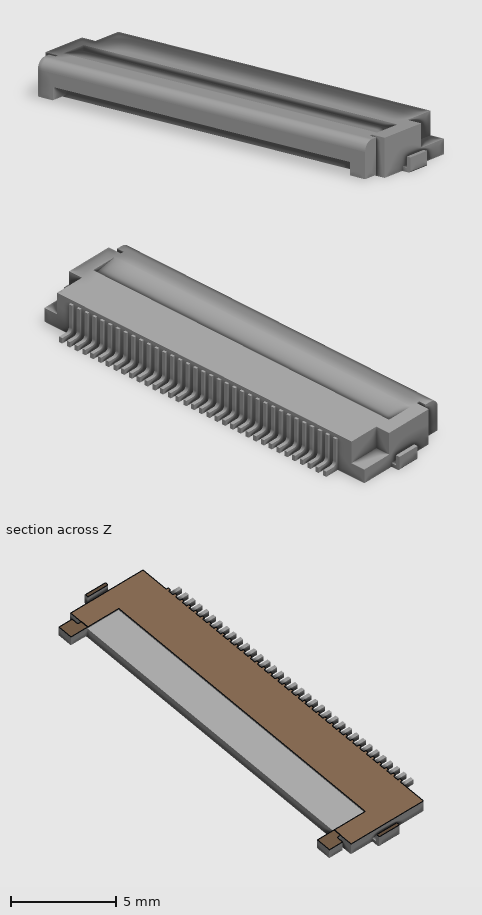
import cadquery as cq


overall_length = 21.6
top_z = 2.0

housing_length = 20.6
housing_depth = 4.54
corner_notch_length = 0.82
corner_notch_depth = 1.75
corner_ledge_z = 0.78
cable_floor_z = 0.58

bar_length = 19.87
tongue_length = 19.05
cable_slot_length = 18.05
cable_slot_top_z = 0.8
slider_bottom_z = 0.13
bar_front_y = -1.04
bar_rear_y = -0.2
bar_radius = 0.52
tongue_flat_y = 0.39
tongue_rear_y = 1.95
tongue_rear_z = 1.73

strap_front_y = 1.35
strap_width = 1.27
strap_thickness = 0.22
strap_height = 0.78
strap_bend_radius = 0.1

lead_count = 35
lead_row_length = 17.0
lead_width = 0.2
lead_tip_y = 5.35
lead_top_z = 1.81
riser_thickness = 0.13
foot_thickness = 0.3
lead_bend_radius = 0.22


def box(x0, x1, y0, y1, z0, z1):
    """Block between two opposite corners."""
    return cq.Workplane("XY").box(x1 - x0, y1 - y0, z1 - z0, centered=False).translate((x0, y0, z0))


def centred_box(length, y0, y1, z0, z1):
    """Block centred on X = 0."""
    return box(-length / 2, length / 2, y0, y1, z0, z1)


def centred_prism(length, yz_points):
    """Prism along X, centred on X = 0, from a closed YZ outline."""
    return cq.Workplane("YZ").polyline(yz_points).close().extrude(length / 2, both=True)


def make_lead(centre_x):
    """L-shaped lead: a riser on the rear wall of the housing and a foot reaching backwards."""
    riser_y = housing_depth + riser_thickness
    return (
        cq.Workplane("YZ", origin=(centre_x, 0, 0))
        .moveTo(housing_depth, 0)
        .lineTo(lead_tip_y, 0)
        .lineTo(lead_tip_y, foot_thickness)
        .lineTo(riser_y + lead_bend_radius, foot_thickness)
        .radiusArc((riser_y, foot_thickness + lead_bend_radius), lead_bend_radius)
        .lineTo(riser_y, lead_top_z)
        .lineTo(housing_depth, lead_top_z)
        .close()
        .extrude(lead_width / 2, both=True)
    )


def make_housing():
    """Housing with stepped rear corners, a tongue recess, a strap groove and its contact leads."""
    body = centred_box(housing_length, 0, housing_depth, 0, top_z)

    notch_x = housing_length / 2 - corner_notch_length
    notch_y = housing_depth - corner_notch_depth
    notch = box(notch_x, housing_length / 2, notch_y, housing_depth, corner_ledge_z, top_z)
    body = body.cut(notch).cut(notch.mirror("YZ"))

    body = body.cut(centred_box(tongue_length, 0, tongue_rear_y, cable_slot_top_z, top_z))
    body = body.cut(centred_box(cable_slot_length, 0, tongue_rear_y, cable_floor_z, cable_slot_top_z))

    strap_rear_y = strap_front_y + strap_width
    body = body.cut(centred_box(housing_length, strap_front_y, strap_rear_y, 0, strap_thickness))

    lead_pitch = lead_row_length / (lead_count - 1)
    for i in range(lead_count):
        body = body.union(make_lead(-lead_row_length / 2 + i * lead_pitch))
    return body


def make_slider():
    """Slider: a round-edged front bar on two feet, and a tongue that fills the housing recess."""
    bar = centred_box(bar_length, bar_front_y, bar_rear_y, slider_bottom_z, top_z)
    bar = bar.faces("<Y").edges(">Z").fillet(bar_radius)
    neck = centred_box(tongue_length, bar_rear_y, 0, slider_bottom_z, top_z)
    cable_slot = centred_box(cable_slot_length, bar_front_y, 0, slider_bottom_z, cable_slot_top_z)
    tongue = centred_prism(
        tongue_length,
        [
            (0, cable_slot_top_z),
            (tongue_rear_y, cable_slot_top_z),
            (tongue_rear_y, tongue_rear_z),
            (tongue_flat_y, top_z),
            (0, top_z),
        ],
    )
    return bar.union(neck).cut(cable_slot).union(tongue)


def make_strap():
    """Hold-down strap: a flat strip under the housing with both ends bent up."""
    rear_y = strap_front_y + strap_width
    outer = centred_box(overall_length, strap_front_y, rear_y, 0, strap_height)
    outer = outer.edges("|Y and <Z").fillet(strap_bend_radius)
    inner_length = overall_length - 2 * strap_thickness
    return outer.cut(centred_box(inner_length, strap_front_y, rear_y, strap_thickness, strap_height))


housing = make_housing()
slider = make_slider()
strap = make_strap()

result = cq.Compound.makeCompound([housing.val(), slider.val(), strap.val()])